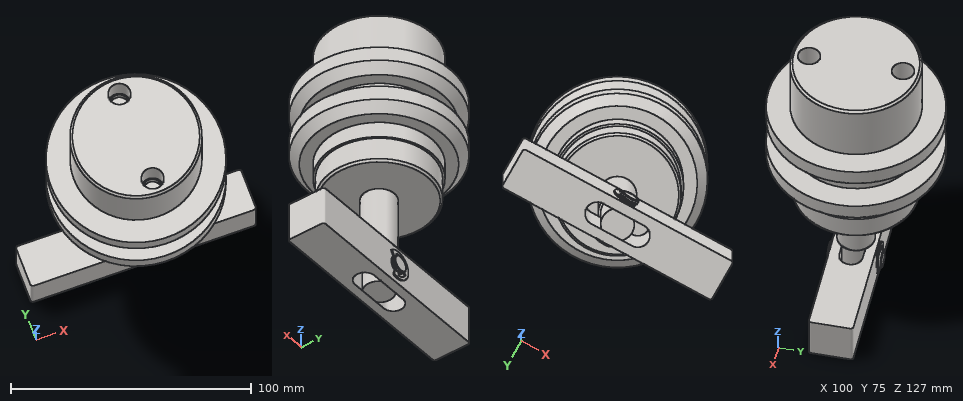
import cadquery as cq
import math

BAR_LENGTH = 100.0
BAR_SIZE = 19.0
BAR_CORNER = 1.2
SLOT_LENGTH = 29.4
SLOT_WIDTH = 10.0

TOTAL_HEIGHT = 127.0
BODY_DIAMETER = 55.0
BODY_LENGTH = 66.0
NOSE_DIAMETER = 53.0
NOSE_LENGTH = 12.0
HOUSING_CHAMFER = 1.0
BODY_BOTTOM = TOTAL_HEIGHT - BODY_LENGTH
HOUSING_BOTTOM = BODY_BOTTOM - NOSE_LENGTH

PORT_SPACING = 40.0
PORT_DIAMETER = 9.4
PORT_DRILL_DIAMETER = 8.4
PORT_DEPTH = 12.0
PORT_DRILL_DEPTH = 15.0

NUT_DIAMETER = 75.0
NUT_HEIGHT = 11.3
NUT_CHAMFER = 4.3
NUT_SPACING = 21.0
UPPER_NUT_DEPTH = 26.0
UPPER_NUT_TOP = TOTAL_HEIGHT - UPPER_NUT_DEPTH
NUT_TOPS = (UPPER_NUT_TOP, UPPER_NUT_TOP - NUT_SPACING)

ROD_DIAMETER = 16.0
ROD_CHAMFER = 1.0
ROD_GAP = 0.5
ROD_SOCKET_DEPTH = 30.0
ROD_BOTTOM = BAR_SIZE + ROD_GAP
ROD_TOP = HOUSING_BOTTOM + ROD_SOCKET_DEPTH
TONGUE_WIDTH = ROD_DIAMETER - 2 * ROD_CHAMFER
TONGUE_THICKNESS = SLOT_WIDTH

PIN_DIAMETER = 8.0
PIN_LENGTH = 23.0
PIN_CHAMFER = 0.4
PIN_HEIGHT = BAR_SIZE / 2
GROOVE_DIAMETER = 7.0
CLIP_THICKNESS = 0.6
CLIP_DIAMETER = 14.0
CLIP_RELIEF_DIAMETER = 11.0
CLIP_STARTS = (-BAR_SIZE / 2 - CLIP_THICKNESS, BAR_SIZE / 2)

CLIP_TILT = -7.0
CLIP_LEG_ANGLE = 60.0
CLIP_OPENING_HALF_ANGLE = 54.0
CLIP_RELIEF_START = 87.0
CLIP_RELIEF_END = 149.0


def cylinder(diameter, bottom, top):
    """Upright cylinder on the Z axis."""
    return cq.Workplane("XY").workplane(offset=bottom).circle(diameter / 2).extrude(top - bottom)


def cross_cylinder(diameter, y_start, y_end):
    """Cylinder along Y at the height of the cross pin."""
    plane = cq.Plane(origin=(0, y_start, PIN_HEIGHT), xDir=(1, 0, 0), normal=(0, 1, 0))
    return cq.Workplane(plane).circle(diameter / 2).extrude(y_end - y_start)


def make_housing():
    """Stepped cylinder body with a rod socket and two stepped ports in its top face."""
    body = cylinder(BODY_DIAMETER, BODY_BOTTOM, TOTAL_HEIGHT).faces(">Z").chamfer(HOUSING_CHAMFER)
    nose = cylinder(NOSE_DIAMETER, HOUSING_BOTTOM, BODY_BOTTOM).faces("<Z").chamfer(HOUSING_CHAMFER)
    housing = body.union(nose).cut(cylinder(ROD_DIAMETER, HOUSING_BOTTOM, ROD_TOP))
    for y in (-PORT_SPACING / 2, PORT_SPACING / 2):
        thread = cylinder(PORT_DIAMETER, TOTAL_HEIGHT - PORT_DEPTH, TOTAL_HEIGHT)
        drill = cylinder(PORT_DRILL_DIAMETER, TOTAL_HEIGHT - PORT_DRILL_DEPTH, TOTAL_HEIGHT)
        housing = housing.cut(thread.union(drill).translate((0, y, 0)))
    return housing


def make_nut(top):
    """Round nut around the body, chamfered at its lower rim."""
    nut = cylinder(NUT_DIAMETER, top - NUT_HEIGHT, top).faces("<Z").chamfer(NUT_CHAMFER)
    return nut.cut(cylinder(BODY_DIAMETER, top - NUT_HEIGHT, top))


def make_rod():
    """Round rod with a flat tongue, cross-bored for the pin."""
    rod = cylinder(ROD_DIAMETER, ROD_BOTTOM, ROD_TOP).faces("<Z").chamfer(ROD_CHAMFER)
    tongue = cq.Workplane("XY").rect(TONGUE_WIDTH, TONGUE_THICKNESS).extrude(ROD_BOTTOM)
    tongue = tongue.intersect(cylinder(TONGUE_WIDTH, 0, ROD_BOTTOM))
    return rod.union(tongue).cut(cross_cylinder(PIN_DIAMETER, -PIN_LENGTH / 2, PIN_LENGTH / 2))


def make_bar():
    """Square bar with a slot through its height and a cross bore for the pin."""
    bar = cq.Workplane("XY").rect(BAR_LENGTH, BAR_SIZE).extrude(BAR_SIZE).edges("|Z").fillet(BAR_CORNER)
    slot = cq.Workplane("XY").slot2D(SLOT_LENGTH, SLOT_WIDTH).extrude(BAR_SIZE)
    return bar.cut(slot).cut(cross_cylinder(PIN_DIAMETER, -BAR_SIZE / 2, BAR_SIZE / 2))


def make_pin():
    """Cross pin with a groove for a clip just outside each side of the bar."""
    pin = cross_cylinder(PIN_DIAMETER, -PIN_LENGTH / 2, PIN_LENGTH / 2)
    pin = pin.faces("<Y or >Y").chamfer(PIN_CHAMFER)
    for y in CLIP_STARTS:
        groove = cross_cylinder(PIN_DIAMETER, y, y + CLIP_THICKNESS)
        core = cross_cylinder(GROOVE_DIAMETER, y, y + CLIP_THICKNESS)
        pin = pin.cut(groove.cut(core))
    return pin


def polar(radius, angle):
    """Point at a radius and an angle in degrees from the clip's opening."""
    turned = math.radians(angle + CLIP_TILT)
    return radius * math.cos(turned), radius * math.sin(turned)


def make_clip(y_start):
    """E-shaped clip, open towards +X, with three prongs seated in the pin's groove."""
    plane = cq.Plane(origin=(0, y_start + CLIP_THICKNESS, PIN_HEIGHT), xDir=(1, 0, 0), normal=(0, -1, 0))
    outer = CLIP_DIAMETER / 2
    relief = CLIP_RELIEF_DIAMETER / 2
    inner = GROOVE_DIAMETER / 2
    outline = cq.Workplane(plane).moveTo(*polar(outer, CLIP_LEG_ANGLE))
    outline = outline.threePointArc(polar(outer, 180), polar(outer, -CLIP_LEG_ANGLE))
    outline = outline.lineTo(*polar(inner, -CLIP_OPENING_HALF_ANGLE))
    outline = outline.threePointArc(polar(inner, 180), polar(inner, CLIP_OPENING_HALF_ANGLE))
    clip = outline.close().extrude(CLIP_THICKNESS)
    for side in (-1, 1):
        start = side * CLIP_RELIEF_START
        end = side * CLIP_RELIEF_END
        window = cq.Workplane(plane).moveTo(0, 0).lineTo(*polar(relief, start))
        window = window.threePointArc(polar(relief, (start + end) / 2), polar(relief, end))
        clip = clip.cut(window.close().extrude(CLIP_THICKNESS))
    return clip


housing = make_housing()
nuts = [make_nut(top) for top in NUT_TOPS]
rod = make_rod()
bar = make_bar()
pin = make_pin()
clips = [make_clip(y) for y in CLIP_STARTS]

result = cq.Compound.makeCompound(
    [
        housing.val(),
        *[nut.val() for nut in nuts],
        rod.val(),
        bar.val(),
        pin.val(),
        *[clip.val() for clip in clips],
    ]
)